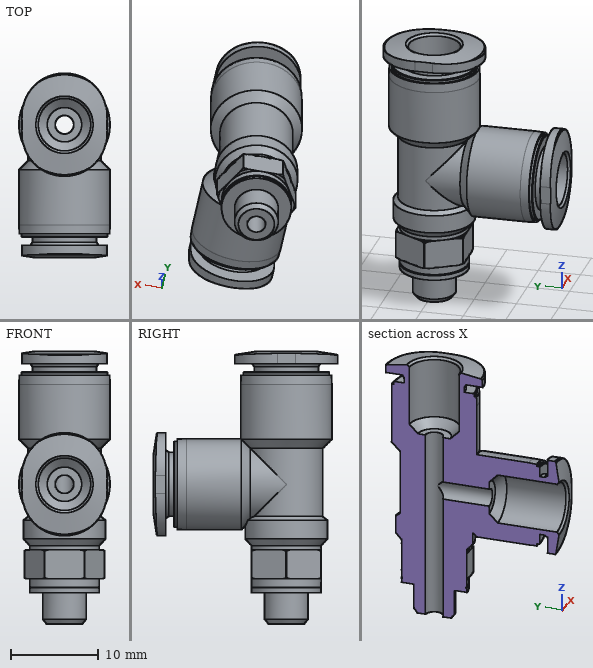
import cadquery as cq
import math

total_height = 31.3
port_reach = 15.27
crossing_z = total_height - port_reach

thread_radius = 5.0 / 2
thread_tip_radius = 2.07
thread_tip_height = 0.55
collar_radius = 8.0 / 2
collar_bottom_z = 3.57
groove_z = 4.13
groove_width = 0.1
groove_depth = 0.1
hex_bottom_z = 5.15
hex_top_z = 8.5
hex_across_flats = 2 * collar_radius
hex_tip_radius = 4.6
hex_edge_radius = 4.38
hex_chamfer_height = 0.13
neck_top_z = 8.98
belt_radius = 9.45 / 2
belt_bottom_z = 9.75
belt_top_z = 11.9
belt_chamfer_height = 0.45

pipe_radius = 4.2
body_radius = 10.5 / 2
body_start = 10.1
cone_start = body_start + body_radius - pipe_radius
body_seam = 3.8
body_end = 2.75
body_end_radius = 5.2
lip_radius = 9.9 / 2
lip_end = 2.38
lip_chamfer = 0.1
sleeve_radius = 7.4 / 2
sleeve_flare_start = 1.8
sleeve_flare_radius = 3.9
flange_start = 1.47
flange_face_radius = 5.73
flange_face_drop = 0.38
flange_edge_drop = 0.5
flange_half_length = 5.92
flange_half_width = 4.88

rim_radius = 3.3
rim_chamfer_depth = 0.28
socket_radius = 6.0 / 2
socket_depth = 7.5
seat_radius = 1.97
seat_depth = socket_depth + socket_radius - seat_radius
bore_radius = 2.1 / 2


def revolve_z(points):
    """Revolve a closed (radius, height) outline about the Z axis."""
    return cq.Workplane("XZ").polyline(points).close().revolve(360, (0, 0, 0), (0, 1, 0))


def make_stem():
    """Turned stem from the thread tip up to the crossing."""
    return revolve_z([
        (0, 0),
        (thread_tip_radius, 0),
        (thread_radius, thread_tip_height),
        (thread_radius, collar_bottom_z),
        (collar_radius, collar_bottom_z),
        (collar_radius, groove_z),
        (collar_radius - groove_depth, groove_z),
        (collar_radius - groove_depth, groove_z + groove_width),
        (collar_radius, groove_z + groove_width),
        (collar_radius, neck_top_z),
        (belt_radius, belt_bottom_z),
        (belt_radius, belt_top_z),
        (pipe_radius, belt_top_z + belt_chamfer_height),
        (pipe_radius, crossing_z),
        (0, crossing_z),
    ])


def make_hexagon():
    """Wrench hexagon with flats facing +Y and -Y and chamfered corners."""
    across_corners = hex_across_flats / math.cos(math.radians(30))
    prism = (
        cq.Workplane("XY", origin=(0, 0, hex_bottom_z))
        .polygon(6, across_corners)
        .extrude(hex_top_z - hex_bottom_z)
    )
    corner_limit = revolve_z([
        (0, hex_bottom_z),
        (hex_edge_radius, hex_bottom_z),
        (hex_tip_radius, hex_bottom_z + hex_chamfer_height),
        (hex_tip_radius, hex_top_z - hex_chamfer_height),
        (hex_edge_radius, hex_top_z),
        (0, hex_top_z),
    ])
    return prism.intersect(corner_limit)


def make_flange():
    """Oblong release flange, long along Y, with a slightly conical end face."""
    end_z = total_height
    oblong = (
        cq.Workplane("XY", origin=(0, 0, end_z - flange_start))
        .slot2D(2 * flange_half_length, 2 * flange_half_width, 90)
        .extrude(flange_start)
    )
    conical_limit = revolve_z([
        (0, end_z - flange_start),
        (flange_half_length, end_z - flange_start),
        (flange_half_length, end_z - flange_edge_drop),
        (flange_face_radius, end_z - flange_face_drop),
        (rim_radius, end_z),
        (0, end_z),
    ])
    return oblong.intersect(conical_limit)


def make_port():
    """Solid upward port, from the crossing to its end face."""
    outline = [
        (pipe_radius, port_reach),
        (pipe_radius, cone_start),
        (body_radius, body_start),
        (body_radius, body_seam),
        (body_end_radius, body_end),
        (lip_radius, body_end),
        (lip_radius, lip_end + lip_chamfer),
        (lip_radius - lip_chamfer, lip_end),
        (sleeve_radius, lip_end),
        (sleeve_radius, sleeve_flare_start),
        (sleeve_flare_radius, flange_start),
    ]
    points = [(radius, total_height - depth) for radius, depth in outline]
    axis_points = [(0, total_height - flange_start), (0, crossing_z)]
    return revolve_z(points + axis_points).union(make_flange())


def make_port_bore():
    """Tube socket with a conical seat and a passage down to the crossing."""
    outline = [
        (0, 0),
        (rim_radius, 0),
        (socket_radius, rim_chamfer_depth),
        (socket_radius, socket_depth),
        (seat_radius, seat_depth),
        (bore_radius, seat_depth),
        (bore_radius, port_reach),
        (0, port_reach),
    ]
    return revolve_z([(radius, total_height - depth) for radius, depth in outline])


def turn_to_side(shape):
    """Swing an upward shape about the crossing so that it points to -Y."""
    return shape.rotate((0, 0, crossing_z), (1, 0, crossing_z), 90)


port = make_port()
port_bore = make_port_bore()
stem_bore = cq.Workplane("XY").circle(bore_radius).extrude(crossing_z)

body = make_stem().union(make_hexagon()).union(port).union(turn_to_side(port))
result = body.cut(port_bore).cut(turn_to_side(port_bore)).cut(stem_bore)